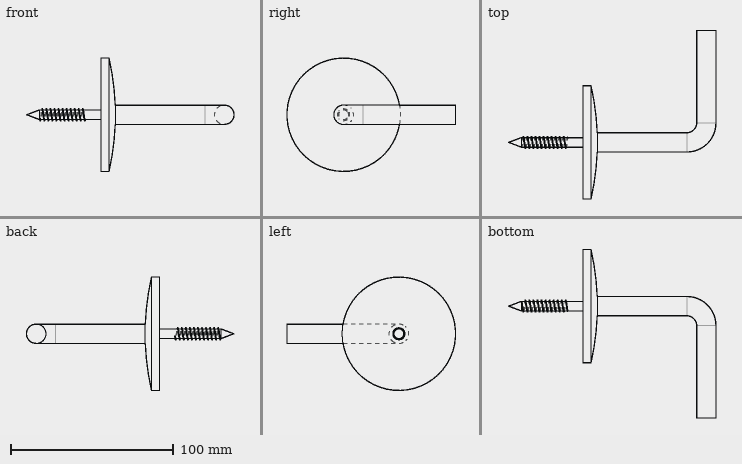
import cadquery as cq


plate_diameter = 70.0
rim_thickness = 5.0
plate_thickness = 9.0

rod_diameter = 12.0
rod_radius = rod_diameter / 2
bend_radius = rod_diameter
hook_reach = 82.0
arm_end = 69.0

screw_length = 46.0
shank_diameter = 6.0
shank_radius = shank_diameter / 2
point_length = 8.0
thread_diameter = 7.4
thread_turns = 11.3
thread_length = 28.2
thread_pitch = thread_length / thread_turns
thread_root_width = 0.6
thread_crest_width = 0.3
thread_overlap = 0.3
thread_start_angle = -45


def make_plate():
    """Disc with a straight rim and a shallow domed front."""
    plate_radius = plate_diameter / 2
    dome_height = plate_thickness - rim_thickness
    dome_radius = (plate_radius**2 + dome_height**2) / (2 * dome_height)
    return (
        cq.Workplane("XY")
        .lineTo(0, plate_radius)
        .lineTo(rim_thickness, plate_radius)
        .radiusArc((plate_thickness, 0), dome_radius)
        .close()
        .revolve(360, (0, 0), (1, 0))
    )


def make_hook():
    """Round rod that leaves the plate along +X and bends towards +Y."""
    arm_x = hook_reach - rod_radius
    path = (
        cq.Workplane("XY")
        .moveTo(rim_thickness, 0)
        .lineTo(arm_x - bend_radius, 0)
        .tangentArcPoint((arm_x, bend_radius), relative=False)
        .lineTo(arm_x, arm_end)
    )
    return cq.Workplane("YZ", origin=(rim_thickness, 0, 0)).circle(rod_radius).sweep(path)


def make_shank():
    """Plain round shank with a conical point, reaching slightly into the plate."""
    return (
        cq.Workplane("XY")
        .moveTo(-screw_length, 0)
        .lineTo(point_length - screw_length, shank_radius)
        .lineTo(rim_thickness, shank_radius)
        .lineTo(rim_thickness, 0)
        .close()
        .revolve(360, (0, 0), (1, 0))
    )


def make_thread():
    """Right-hand helical ridge, built along Z and then laid along X."""
    root_radius = shank_radius - thread_overlap
    helix = cq.Wire.makeHelix(thread_pitch, thread_length, root_radius)
    ridge = (
        cq.Workplane("XZ")
        .moveTo(root_radius, -thread_root_width / 2)
        .lineTo(thread_diameter / 2, -thread_crest_width / 2)
        .lineTo(thread_diameter / 2, thread_crest_width / 2)
        .lineTo(root_radius, thread_root_width / 2)
        .close()
        .sweep(cq.Workplane(helix), isFrenet=True)
    )
    return (
        ridge.rotate((0, 0, 0), (0, 0, 1), thread_start_angle)
        .rotate((0, 0, 0), (0, 1, 0), 90)
        .translate((point_length + thread_root_width / 2 - screw_length, 0, 0))
    )


screw = make_shank().union(make_thread())
result = make_plate().union(make_hook()).union(screw)